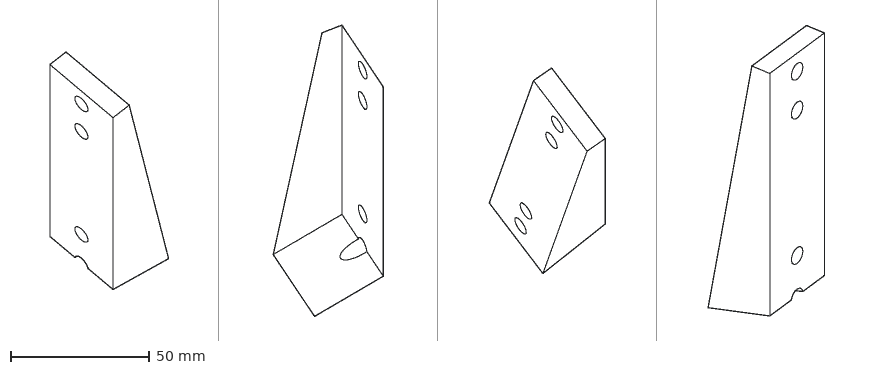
import cadquery as cq
import math

width = 33.0
depth = 27.9
height = 113.0
top_depth = 8.1
front_bottom = 7.6

hole_diameter = 6.8
straight_hole_heights = (25.1, 105.1)
tilted_hole_heights = (7.0, 88.3)
back_tilt = math.atan2(depth - top_depth, height)
cutter_length = 3 * depth


def hole_cutter(front_height, tilt):
    """Cylinder through the front face, rising by the tilt angle towards +Y."""
    direction = cq.Vector(0, math.cos(tilt), math.sin(tilt))
    start = cq.Vector(0, 0, front_height) - direction * (cutter_length / 2)
    return cq.Solid.makeCylinder(hole_diameter / 2, cutter_length, start, direction)


side_profile = [
    (0, front_bottom),
    (depth, 0),
    (top_depth, height),
    (0, height),
]
result = cq.Workplane("YZ").polyline(side_profile).close().extrude(width / 2, both=True)

for hole_height in straight_hole_heights:
    result = result.cut(hole_cutter(hole_height, 0))
for hole_height in tilted_hole_heights:
    result = result.cut(hole_cutter(hole_height, back_tilt))